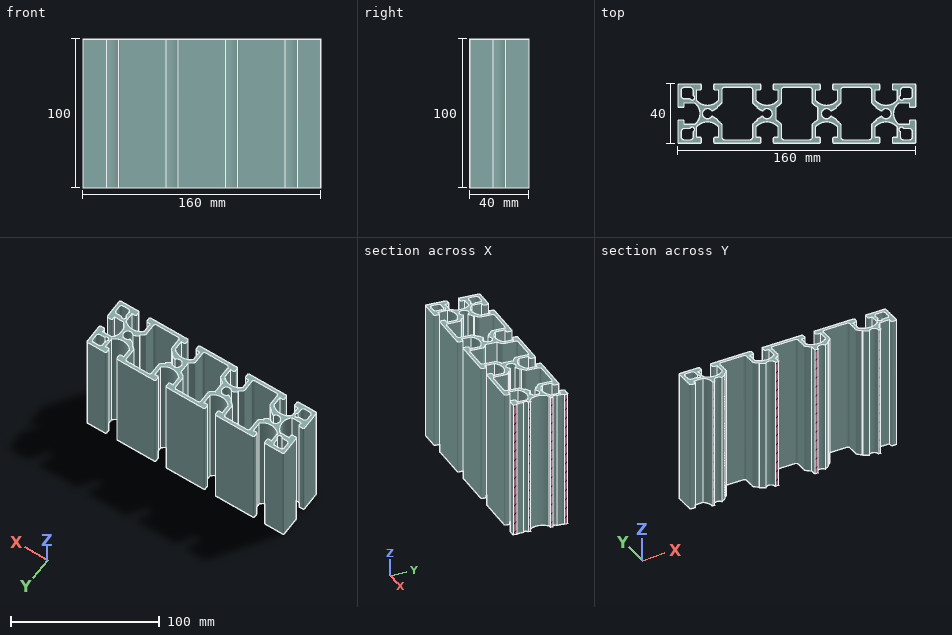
import cadquery as cq
import math

LENGTH_X = 160.0
WIDTH_Y = 40.0
HEIGHT_Z = 100.0
HALF_X = LENGTH_X / 2
HALF_Y = WIDTH_Y / 2

MODULE = WIDTH_Y
OUTER_SLOT_X = HALF_X - MODULE / 2
INNER_SLOT_X = OUTER_SLOT_X - MODULE

SLOT_OPENING = 8.3
SIDE_SLOT_LIP = 4.2
SIDE_SLOT_WIDTH = 14.7
SIDE_SLOT_DEPTH = 14.4
SIDE_SLOT_FLOOR_RADIUS = 10.0
END_SLOT_LIP = 4.3
END_SLOT_WIDTH = 14.2
END_SLOT_DEPTH = 14.9
END_SLOT_FLOOR_RADIUS = 9.1
FLOOR_CENTER_Y = HALF_Y - SIDE_SLOT_DEPTH + SIDE_SLOT_FLOOR_RADIUS

EDGE_ROUND = 1.0

WALL = 2.4
CHAMBER_ROUND = 1.6
WEB = 2.9
WEB_ROUND = 1.6
WEB_RADIUS = SIDE_SLOT_FLOOR_RADIUS + WEB
CHAMBER_HALF_X = MODULE / 2 - SIDE_SLOT_WIDTH / 2 - WALL
CHAMBER_HALF_Y = HALF_Y - WALL
WALL_FROM_SLOT = MODULE / 2 - CHAMBER_HALF_X

BORE_RADIUS = 3.4
BORE_WALL = 2.7

MOUTH_HALF_WIDTH = 1.6
JAW_STEP_X = 6.7
JAW_STEP_Y = 3.8

CELL_SIZE_X = 7.8
CELL_SIZE_Y = 7.5
CELL_ROUND = 2.0
RELIEF_RADIUS = 1.6
RELIEF_INSET_X = 9.6
RELIEF_INSET_Y = 9.3


def web_height(offset):
    """Y of the chamber side of the web, at an X offset from the slot axis."""
    return FLOOR_CENTER_Y - math.sqrt(WEB_RADIUS**2 - offset**2)


def t_slot(opening, lip, width, depth, floor_radius):
    """T-slot cutter entering at Y = 0 and reaching down to Y = -depth."""
    half = width / 2
    flank_end = depth - floor_radius + math.sqrt(floor_radius**2 - half**2)
    return (
        cq.Workplane("XY")
        .moveTo(-opening / 2, 0)
        .lineTo(-opening / 2, -lip)
        .lineTo(-half, -lip)
        .lineTo(-half, -flank_end)
        .threePointArc((0, -depth), (half, -flank_end))
        .lineTo(half, -lip)
        .lineTo(opening / 2, -lip)
        .lineTo(opening / 2, 0)
        .close()
        .extrude(HEIGHT_Z)
    )


def chamber():
    """Tall, round-cornered part of a chamber, centred on the origin."""
    return (
        cq.Workplane("XY")
        .rect(2 * CHAMBER_HALF_X, 2 * CHAMBER_HALF_Y)
        .extrude(HEIGHT_Z)
        .edges("|Z")
        .fillet(CHAMBER_ROUND)
    )


def waist(end_x, end_points):
    """Chamber end narrowing towards a slot axis at X = 0, with the chamber on the +X side.

    The curved webs run from the chamber wall to end_x; end_points continue the +Y half inwards.
    """
    middle_x = (WALL_FROM_SLOT + end_x) / 2
    half = (
        cq.Workplane("XY")
        .moveTo(MODULE / 2, 0)
        .lineTo(MODULE / 2, web_height(WALL_FROM_SLOT))
        .lineTo(WALL_FROM_SLOT, web_height(WALL_FROM_SLOT))
        .threePointArc((middle_x, web_height(middle_x)), (end_x, web_height(end_x)))
    )
    for point in end_points:
        half = half.lineTo(*point)
    half = half.close().extrude(HEIGHT_Z)
    return half.union(half.mirror("XZ"))


def corner_cell():
    """Cell in the +X, +Y corner with its relief in the innermost corner."""
    cell = (
        cq.Workplane("XY")
        .center(HALF_X - WALL - CELL_SIZE_X / 2, HALF_Y - WALL - CELL_SIZE_Y / 2)
        .rect(CELL_SIZE_X, CELL_SIZE_Y)
        .extrude(HEIGHT_Z)
        .edges("|Z")
        .fillet(CELL_ROUND)
    )
    relief = (
        cq.Workplane("XY")
        .center(HALF_X - RELIEF_INSET_X, HALF_Y - RELIEF_INSET_Y)
        .circle(RELIEF_RADIUS)
        .extrude(HEIGHT_Z)
    )
    return cell.union(relief)


def round_edges(body, points, radius):
    """Fillet the Z edges that pass through the given XY points."""
    reach = 0.2
    for x, y in points:
        corner = cq.selectors.BoxSelector((x - reach, y - reach, 0), (x + reach, y + reach, HEIGHT_Z))
        body = body.edges("|Z").edges(corner).fillet(radius)
    return body


slot_centers = [-OUTER_SLOT_X, -INNER_SLOT_X, INNER_SLOT_X, OUTER_SLOT_X]
chamber_centers = [-MODULE, 0, MODULE]
profile = cq.Workplane("XY").rect(LENGTH_X, WIDTH_Y).extrude(HEIGHT_Z)

side_slot = t_slot(
    SLOT_OPENING, SIDE_SLOT_LIP, SIDE_SLOT_WIDTH, SIDE_SLOT_DEPTH, SIDE_SLOT_FLOOR_RADIUS
).translate((0, HALF_Y, 0))
end_slot = t_slot(
    SLOT_OPENING, END_SLOT_LIP, END_SLOT_WIDTH, END_SLOT_DEPTH, END_SLOT_FLOOR_RADIUS
).translate((0, HALF_X, 0))
for x in slot_centers:
    profile = profile.cut(side_slot.translate((x, 0, 0)))
    profile = profile.cut(side_slot.mirror("XZ").translate((x, 0, 0)))
for angle in (90, -90):
    profile = profile.cut(end_slot.rotate((0, 0, 0), (0, 0, 1), angle))

for x in chamber_centers:
    profile = profile.cut(chamber().translate((x, 0, 0)))

flat_x = BORE_RADIUS + BORE_WALL
flat_end = waist(flat_x, [(flat_x, 0)])
profile = profile.cut(flat_end.mirror("YZ").translate((INNER_SLOT_X, 0, 0)))
profile = profile.cut(flat_end.translate((-INNER_SLOT_X, 0, 0)))

tip_x = math.sqrt(BORE_RADIUS**2 - MOUTH_HALF_WIDTH**2)
jaw_points = [(JAW_STEP_X, JAW_STEP_Y), (tip_x, MOUTH_HALF_WIDTH), (0, MOUTH_HALF_WIDTH), (0, 0)]
jaw_end = waist(JAW_STEP_X, jaw_points)
for x in (-OUTER_SLOT_X, INNER_SLOT_X):
    profile = profile.cut(jaw_end.translate((x, 0, 0)))
    profile = profile.cut(jaw_end.mirror("YZ").translate((-x, 0, 0)))

bores = cq.Workplane("XY").pushPoints([(x, 0) for x in slot_centers]).circle(BORE_RADIUS).extrude(HEIGHT_Z)
profile = profile.cut(bores)

cell_pair = corner_cell().union(corner_cell().mirror("XZ"))
profile = profile.cut(cell_pair).cut(cell_pair.mirror("YZ"))

web_corner_y = web_height(WALL_FROM_SLOT)
web_corners = [
    (center_x + side_x * CHAMBER_HALF_X, side_y * web_corner_y)
    for center_x in chamber_centers
    for side_x in (-1, 1)
    for side_y in (-1, 1)
]
profile = round_edges(profile, web_corners, WEB_ROUND)

half_opening = SLOT_OPENING / 2
outer_corners = [(HALF_X, HALF_Y), (HALF_X, half_opening), (HALF_X - END_SLOT_LIP, half_opening)]
for slot_x in (INNER_SLOT_X, OUTER_SLOT_X):
    for lip_x in (slot_x - half_opening, slot_x + half_opening):
        outer_corners += [(lip_x, HALF_Y), (lip_x, HALF_Y - SIDE_SLOT_LIP)]
for side_x in (-1, 1):
    for side_y in (-1, 1):
        quarter = [(side_x * x, side_y * y) for x, y in outer_corners]
        profile = round_edges(profile, quarter, EDGE_ROUND)

result = profile